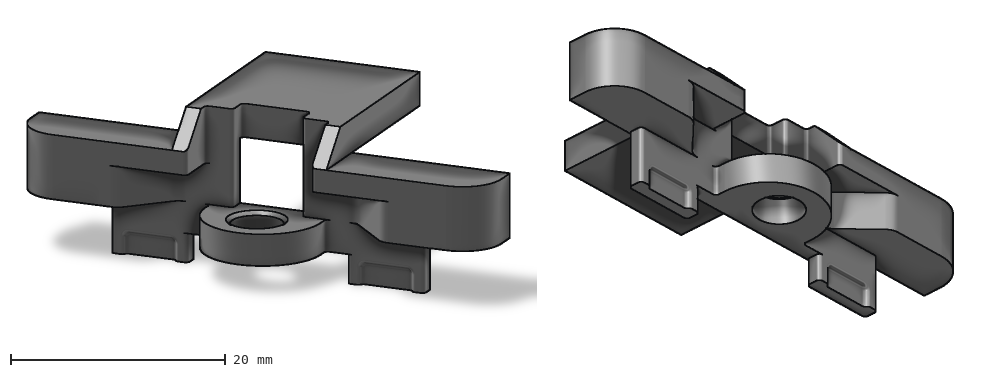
import cadquery as cq
import math

plate_thickness = 3.3
slot_floor_z = -5.6
wing_bottom_z = -9.6
ring_bottom_z = -12.7
leg_bottom_z = -15.6

window_back_y = -15.55
wall_back_y = -15.95
wall_front_y = -17.6
hole_y = -20.1
wing_front_y = -21.95
ring_front_y = -24.6

wing_half = 23.9
leg_outer_half = 15.9
leg_inner_half = 8.1
plate_half = 7.85
slot_half = 6.3
ring_half = 5.9
window_half = 3.5

edge_radius = 0.4
wing_tip_radius = 3.9

relief_mid_x = 11.25
relief_radius = 1.63

hole_diameter = 5.0
hole_chamfer = 0.4

recess_width = 5.5
recess_height = 2.35
recess_depth = 0.4
recess_taper = 35.0
recess_corner_radius = 0.6
recess_round = 0.4


def block(x_min, x_max, y_front, y_back, z_bottom, z_top):
    """Box given by its limits along each axis."""
    size = (x_max - x_min, y_back - y_front, z_top - z_bottom)
    return cq.Workplane("XY").box(*size, centered=False).translate((x_min, y_front, z_bottom))


def both_sides(body):
    """The body joined with its mirror image across X = 0."""
    return body.union(body.mirror("YZ"))


def make_plate():
    """Flat plate whose front edge slopes down at 45 degrees to the wing tops."""
    return (
        cq.Workplane("YZ")
        .lineTo(wing_front_y + plate_thickness, 0)
        .lineTo(wing_front_y, -plate_thickness)
        .lineTo(0, -plate_thickness)
        .close()
        .extrude(plate_half, both=True)
    )


def make_relief():
    """Space cleared in front of the wall under the right wing, ending in a 45 degree S-shaped side."""
    half_run = (wall_front_y - wing_front_y) / 2
    tangent = relief_radius * math.tan(math.radians(22.5))
    step = tangent * math.sqrt(0.5)
    back_x = relief_mid_x - half_run
    front_x = relief_mid_x + half_run
    return (
        cq.Workplane("XY", origin=(0, 0, wing_bottom_z))
        .moveTo(0, wall_front_y)
        .lineTo(back_x - tangent, wall_front_y)
        .tangentArcPoint((back_x + step, wall_front_y - step), relative=False)
        .lineTo(front_x - step, wing_front_y + step)
        .tangentArcPoint((front_x + tangent, wing_front_y), relative=False)
        .lineTo(0, wing_front_y)
        .close()
        .extrude(slot_floor_z - wing_bottom_z)
    )


def make_wing():
    """Right wing: a bar with a rounded tip, relieved under its inner end."""
    bar = block(0, wing_half, wing_front_y, wall_back_y, wing_bottom_z, -plate_thickness)
    return bar.edges("|Z and >X and <Y").fillet(wing_tip_radius).cut(make_relief())


def make_opening(half_width, y_front, y_back, z_bottom):
    """Cutter reaching up to Z = 0, with rounded back corners and front corners flared by a radius."""
    r = edge_radius
    half = (
        cq.Workplane("XY", origin=(0, 0, z_bottom))
        .moveTo(0, y_front)
        .lineTo(half_width + r, y_front)
        .radiusArc((half_width, y_front + r), r)
        .lineTo(half_width, y_back - r)
        .radiusArc((half_width - r, y_back), -r)
        .lineTo(0, y_back)
        .close()
        .extrude(-z_bottom)
    )
    return both_sides(half)


def make_recess():
    """Sloped-side recess cutter with a rounded floor, centred on the foot of the right leg."""
    mid_x = (leg_inner_half + leg_outer_half) / 2
    cutter = (
        cq.Workplane("XZ", origin=(mid_x, wall_front_y, leg_bottom_z))
        .sketch()
        .rect(recess_width, 2 * recess_height)
        .vertices()
        .fillet(recess_corner_radius)
        .finalize()
        .extrude(-recess_depth, taper=recess_taper)
    )
    return cutter.faces(">Y").edges().fillet(recess_round)


def make_leg():
    """Right leg with rounded corners and a recess with a rounded rim."""
    leg = block(leg_inner_half, leg_outer_half, wall_front_y, wall_back_y, leg_bottom_z, wing_bottom_z)
    leg = leg.edges("|Z").fillet(edge_radius).cut(make_recess())
    margin = 0.05
    rim = cq.selectors.BoxSelector(
        (leg_inner_half + edge_radius + margin, wall_front_y - margin, leg_bottom_z + margin),
        (leg_outer_half - edge_radius - margin, wall_front_y + margin, wing_bottom_z - margin),
    )
    return leg.edges(rim).fillet(recess_round)


def make_bridge():
    """Low stretch of wall that joins the two legs."""
    reach = (leg_inner_half + leg_outer_half) / 2
    return block(-reach, reach, wall_front_y, wall_back_y, ring_bottom_z, wing_bottom_z)


def make_ring():
    """Right half of the round-ended lug for the screw, blended into the front of the wall."""
    r = edge_radius
    return (
        cq.Workplane("XY", origin=(0, 0, ring_bottom_z))
        .moveTo(0, wall_back_y)
        .lineTo(ring_half + r, wall_back_y)
        .lineTo(ring_half + r, wall_front_y)
        .radiusArc((ring_half, wall_front_y - r), -r)
        .lineTo(ring_half, ring_front_y + ring_half)
        .radiusArc((0, ring_front_y), ring_half)
        .close()
        .extrude(wing_bottom_z - ring_bottom_z)
    )


def make_screw_hole():
    """Cutter for the through hole and the chamfer at its top."""
    radius = hole_diameter / 2
    return (
        cq.Workplane("XZ", origin=(0, hole_y, 0))
        .moveTo(0, ring_bottom_z)
        .lineTo(radius, ring_bottom_z)
        .lineTo(radius, wing_bottom_z - hole_chamfer)
        .lineTo(radius + hole_chamfer, wing_bottom_z)
        .lineTo(0, wing_bottom_z)
        .close()
        .revolve(360, (0, 0, 0), (0, 1, 0))
    )


upper = make_plate().union(both_sides(make_wing()))
upper = upper.cut(make_opening(slot_half, wing_front_y, wall_front_y, slot_floor_z))
upper = upper.cut(make_opening(window_half, wall_front_y, window_back_y, wing_bottom_z))

lower = make_bridge().union(both_sides(make_leg())).union(both_sides(make_ring()))
lower = lower.cut(make_screw_hole())

result = upper.union(lower)